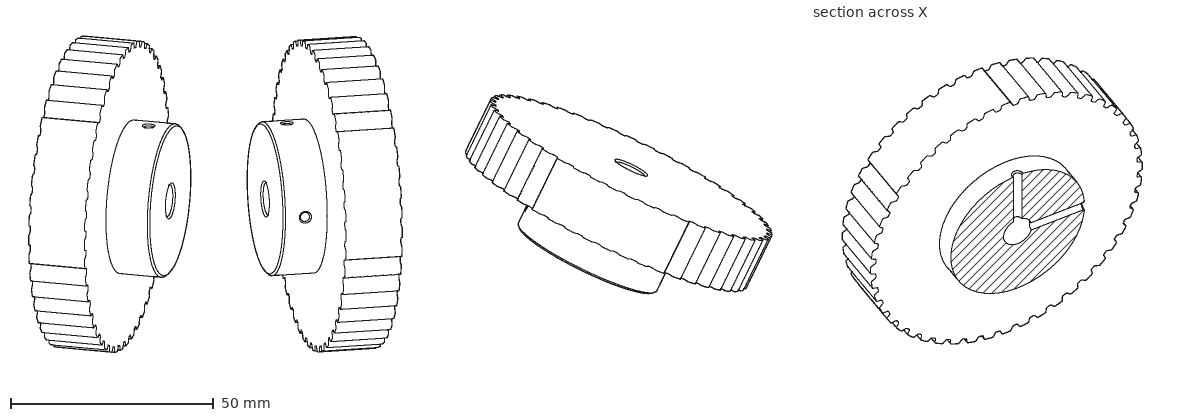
import cadquery as cq
import math

BELT_PITCH = 5.08
TOOTH_COUNT = 48
PITCH_LINE_OFFSET = 0.254
OUTER_RADIUS = BELT_PITCH * TOOTH_COUNT / (2 * math.pi) - PITCH_LINE_OFFSET
RIM_WIDTH = 14.29

GROOVE_DEPTH = 1.4
GROOVE_BOTTOM_WIDTH = 1.3
GROOVE_FLANK_ANGLE = 25.0
GROOVE_CORNER_RADIUS = 0.4
TOOTH_TIP_RADIUS = 0.38

TOTAL_LENGTH = 25.4
HUB_RADIUS = 38.1 / 2
HUB_CHAMFER = 0.5

BORE_RADIUS = 7.94 / 2
BORE_CHAMFER = 0.5

SCREW_HOLE_RADIUS = 2.3 / 2
SCREW_HOLE_CHAMFER = 0.4
SCREW_HOLE_X = (RIM_WIDTH + TOTAL_LENGTH) / 2
SCREW_HOLE_ANGLES = (0.0, -90.0)


def make_blank():
    """Stepped body of rim and hub, chamfered at the free end of the hub."""
    rim = cq.Workplane("YZ").circle(OUTER_RADIUS).extrude(RIM_WIDTH)
    hub = cq.Workplane("YZ").circle(HUB_RADIUS).extrude(TOTAL_LENGTH)
    hub = hub.faces(">X").edges().chamfer(HUB_CHAMFER)
    return rim.union(hub)


def make_groove():
    """Cutter for one belt groove, centred on the +Z direction.

    Its mouth flares out along two arcs, each tangent to a flank and to the
    outer circle, which round the tips of the neighbouring teeth.
    """
    flank = math.radians(GROOVE_FLANK_ANGLE)
    half_bottom = GROOVE_BOTTOM_WIDTH / 2
    bottom = OUTER_RADIUS - GROOVE_DEPTH

    tip_orbit = OUTER_RADIUS - TOOTH_TIP_RADIUS
    flank_offset = half_bottom * math.cos(flank) - bottom * math.sin(flank) + TOOTH_TIP_RADIUS
    tip_angle = flank + math.asin(flank_offset / tip_orbit)
    tip_y = tip_orbit * math.sin(tip_angle)
    tip_z = tip_orbit * math.cos(tip_angle)

    def tip_point(direction):
        """Point of the tip arc lying in a direction measured from +Z towards +Y."""
        return (
            tip_y + TOOTH_TIP_RADIUS * math.sin(direction),
            tip_z + TOOTH_TIP_RADIUS * math.cos(direction),
        )

    def mirrored(point):
        """Matching point on the other side of the groove."""
        return (-point[0], point[1])

    flank_direction = flank - math.pi / 2
    flank_end = tip_point(flank_direction)
    arc_middle = tip_point((flank_direction + tip_angle) / 2)
    crest_end = tip_point(tip_angle)
    groove = (
        cq.Workplane("YZ")
        .moveTo(-half_bottom, bottom)
        .lineTo(half_bottom, bottom)
        .lineTo(*flank_end)
        .threePointArc(arc_middle, crest_end)
        .threePointArc((0, OUTER_RADIUS), mirrored(crest_end))
        .threePointArc(mirrored(arc_middle), mirrored(flank_end))
        .close()
        .extrude(RIM_WIDTH)
    )
    return groove.faces("<Z").edges("|X").fillet(GROOVE_CORNER_RADIUS)


def cut_grooves(body):
    """Cut all belt grooves, leaving a tooth centred at the top of the rim."""
    groove = make_groove().val()
    tooth_angle = 360.0 / TOOTH_COUNT
    cutters = []
    for index in range(TOOTH_COUNT):
        angle = (index + 0.5) * tooth_angle
        cutters.append(groove.rotate(cq.Vector(0, 0, 0), cq.Vector(1, 0, 0), angle))
    return body.cut(cq.Workplane(cq.Compound.makeCompound(cutters)))


def cut_bore(body):
    """Cut the through bore with a chamfer at both ends."""
    mouth_radius = BORE_RADIUS + BORE_CHAMFER
    profile = [
        (0, 0),
        (0, mouth_radius),
        (BORE_CHAMFER, BORE_RADIUS),
        (TOTAL_LENGTH - BORE_CHAMFER, BORE_RADIUS),
        (TOTAL_LENGTH, mouth_radius),
        (TOTAL_LENGTH, 0),
    ]
    bore = cq.Workplane("XY").polyline(profile).close().revolve(360, (0, 0, 0), (1, 0, 0))
    return body.cut(bore)


def cut_screw_holes(body):
    """Cut the radial set screw holes, each with a countersunk mouth."""
    mouth_radius = SCREW_HOLE_RADIUS + SCREW_HOLE_CHAMFER
    profile = [
        (0, 0),
        (SCREW_HOLE_RADIUS, 0),
        (SCREW_HOLE_RADIUS, HUB_RADIUS - SCREW_HOLE_CHAMFER),
        (mouth_radius, HUB_RADIUS),
        (0, HUB_RADIUS),
    ]
    hole = cq.Workplane("XZ").polyline(profile).close().revolve(360, (0, 0, 0), (0, 1, 0))
    hole = hole.translate((SCREW_HOLE_X, 0, 0))
    for angle in SCREW_HOLE_ANGLES:
        body = body.cut(hole.rotate((0, 0, 0), (1, 0, 0), angle))
    return body


pulley = make_blank()
pulley = cut_grooves(pulley)
pulley = cut_bore(pulley)
result = cut_screw_holes(pulley)